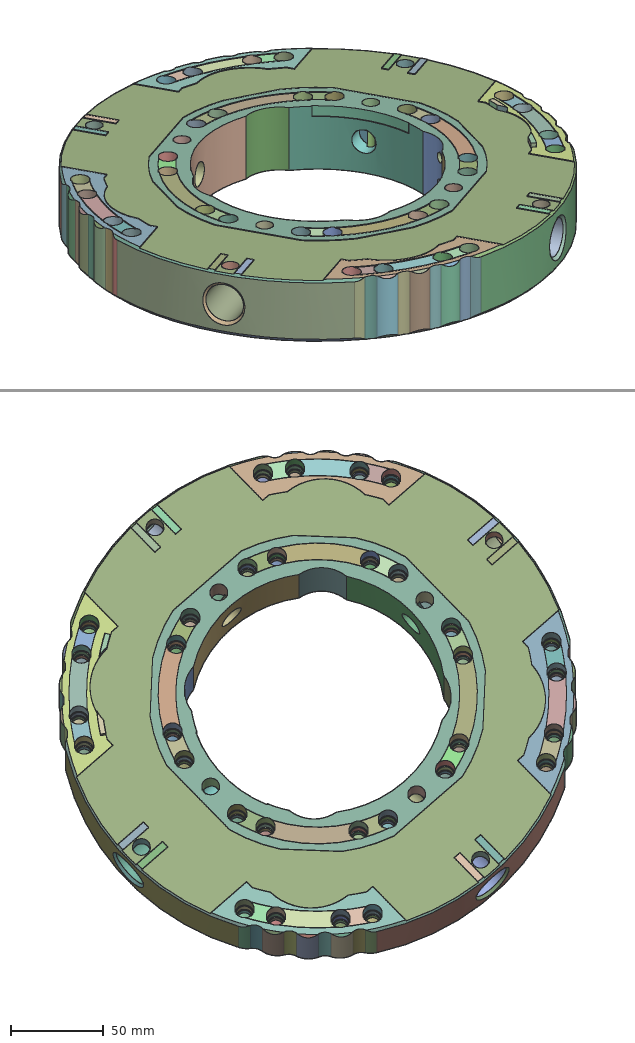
import cadquery as cq
import math

outer_radius = 139.7
body_height = 38.1
bore_radius = 68.8
top_chamfer = 1.5
bottom_chamfer = 2.54
mid_height = body_height / 2
corner_angles = (45, 135, 225, 315)
side_angles = (0, 90, 180, 270)
marked_corner = 45
marked_side = 90
over = 1.0

ridge_count = 5
ridge_pitch = 7.75
ridge_radius = 10.16
groove_radius = 6.35

lobe_radius = 20.6
lobe_reach = 72.0

recess_depth = 0.5
land_radius = 91.44
land_side_distance = 87.9
land_corner_distance = 89.9
pad_edge = 53.2
pad_shelf = 101.4
pad_inner_radius = 116.7
pad_scoop_radius = 31.0
pad_scoop_distance = 92.0
bar_inner_radius = 119.1
bar_offset = 7.6
bar_width = 4.2

tab_height = 2.54
tab_outer_radius = 119.75
tab_angle_from_corner = 14.0

groove_width = 9.525
groove_depth = 0.5
outer_bolt_radius = 129.54
outer_bolt_angles = (ridge_pitch, 2 * ridge_pitch)
inner_bolt_radius = 81.4
inner_bolt_angles = (18.0, 30.0)
mouth_diameter = 10.4
mouth_depth = 9.0
thread_diameter = 9.2
thread_depth = 14.0
drill_diameter = 7.94
drill_depth = 18.0
drill_point_angle = 118.0

plain_diameter = 9.525
plain_depth = 16.5
outer_plain_radius = 129.54
inner_plain_radius = 78.7
drain_diameter = 4.4
socket_diameter = 21.8
socket_depth = 38.1
socket_mouth_diameter = 25.4
socket_chamfer = (socket_mouth_diameter - socket_diameter) / 2
inner_socket_diameter = 14.0
inner_socket_end = 79.4

port_diameter = 6.0
port_offset = 8.05
port_depth = 4.3
relief_depth = 0.6
relief_height = 6.2
relief_half_angle = 24.0


def polar(radius, angle):
    return (radius * math.cos(math.radians(angle)), radius * math.sin(math.radians(angle)))


def disc(radius, bottom, height):
    return cq.Workplane("XY").workplane(offset=bottom).circle(radius).extrude(height)


def turned(solid, angle):
    return solid.rotate((0, 0, 0), (0, 0, 1), angle)


def together(cutters):
    """Separate bodies gathered so that one cut removes them all."""
    return cq.Compound.makeCompound([cutter.val() for cutter in cutters])


def wedge(half_angle, reach, bottom, height):
    """Triangle from the axis, centred on +X."""
    return (
        cq.Workplane("XY").workplane(offset=bottom)
        .polyline([(0, 0), polar(reach, -half_angle), polar(reach, half_angle)])
        .close().extrude(height)
    )


def rim_outline():
    """Round rim whose corners carry convex ridges joined by tangent concave grooves."""
    half_pitch = ridge_pitch / 2
    half_run = ridge_pitch * (ridge_count - 1) / 2
    ridge_centre = outer_radius - ridge_radius
    sideways = ridge_centre * math.sin(math.radians(half_pitch))
    swing = half_pitch + math.degrees(math.asin(sideways / (ridge_radius + groove_radius)))
    groove_centre = (
        ridge_centre * math.cos(math.radians(half_pitch))
        + math.sqrt((ridge_radius + groove_radius) ** 2 - sideways ** 2)
    )
    groove_bottom = groove_centre - groove_radius

    def ridge_point(ridge, turn):
        """Point on the ridge arc, turned from the ridge crest."""
        centre_x, centre_y = polar(ridge_centre, ridge)
        arm_x, arm_y = polar(ridge_radius, ridge + turn)
        return (centre_x + arm_x, centre_y + arm_y)

    outline = cq.Workplane("XY").moveTo(*polar(outer_radius, corner_angles[0] - half_run))
    for corner in corner_angles:
        first_ridge = corner - half_run
        last_ridge = corner + half_run
        outline = outline.threePointArc(ridge_point(first_ridge, swing / 2), ridge_point(first_ridge, swing))
        for index in range(1, ridge_count):
            ridge = first_ridge + index * ridge_pitch
            outline = outline.threePointArc(
                polar(groove_bottom, ridge - half_pitch), ridge_point(ridge, -swing)
            )
            if index < ridge_count - 1:
                outline = outline.threePointArc(ridge_point(ridge, 0), ridge_point(ridge, swing))
        outline = outline.threePointArc(ridge_point(last_ridge, -swing / 2), ridge_point(last_ridge, 0))
        outline = outline.threePointArc(
            polar(outer_radius, corner + 45), polar(outer_radius, corner + 90 - half_run)
        )
    return outline.close()


def make_rim_blank():
    turned_blank = (
        disc(outer_radius, 0, body_height)
        .faces(">Z").chamfer(top_chamfer)
        .faces("<Z").chamfer(bottom_chamfer)
    )
    return turned_blank.intersect(rim_outline().extrude(body_height))


def bore_cutter():
    cutter = disc(bore_radius, -over, body_height + 2 * over)
    for angle in corner_angles:
        lobe = disc(lobe_radius, -over, body_height + 2 * over)
        cutter = cutter.union(lobe.translate((*polar(lobe_reach - lobe_radius, angle), 0)))
    return cutter


def land(bottom, height):
    octagon = cq.Workplane("XY").workplane(offset=bottom)
    sides = octagon.rect(2 * land_side_distance, 2 * land_side_distance).extrude(height)
    corners = octagon.rect(2 * land_corner_distance, 2 * land_corner_distance).extrude(height)
    return disc(land_radius, bottom, height).intersect(sides).intersect(turned(corners, 45))


def corner_pad(bottom, height):
    """Raised pad of the 45 degree corner, reaching past the rim."""
    pad = (
        cq.Workplane("XY").workplane(offset=bottom)
        .polyline([
            (pad_edge, outer_radius), (pad_edge, pad_shelf), (pad_shelf, pad_shelf),
            (pad_shelf, pad_edge), (outer_radius, pad_edge), (outer_radius, outer_radius),
        ])
        .close().extrude(height)
    )
    inner_zone = (
        cq.Workplane("XY").workplane(offset=bottom)
        .rect(pad_shelf, pad_shelf, centered=False).extrude(height)
        .cut(disc(pad_inner_radius, bottom, height))
    )
    scoop = disc(pad_scoop_radius, bottom, height)
    scoop = scoop.translate((*polar(pad_scoop_distance, marked_corner), 0))
    return pad.union(inner_zone).cut(scoop)


def side_bars(bottom, height):
    length = outer_radius - bar_inner_radius
    return (
        cq.Workplane("XY").workplane(offset=bottom)
        .pushPoints([(bar_inner_radius + length / 2, side * bar_offset) for side in (-1, 1)])
        .rect(length, bar_width).extrude(height)
    )


def face_recess():
    floor = body_height - recess_depth
    height = recess_depth + over
    recess = disc(outer_radius + over, floor, height).cut(land(floor, height))
    for corner, side in zip(corner_angles, side_angles):
        recess = recess.cut(turned(corner_pad(floor, height), corner - marked_corner))
        recess = recess.cut(turned(side_bars(floor, height), side))
    return recess


def locating_tabs():
    base = body_height - recess_depth
    height = recess_depth + tab_height
    strip = corner_pad(base, height).intersect(disc(tab_outer_radius, base, height))
    sector = turned(wedge(tab_angle_from_corner, 2 * outer_radius, base, height), marked_corner)
    return strip.intersect(sector)


def arc_groove(radius, half_angle):
    """Shallow round-ended groove centred on +X."""
    floor = body_height - groove_depth
    height = groove_depth + over
    band = disc(radius + groove_width / 2, floor, height).cut(disc(radius - groove_width / 2, floor, height))
    groove = band.intersect(wedge(half_angle, 2 * outer_radius, floor, height))
    for angle in (-half_angle, half_angle):
        groove = groove.union(disc(groove_width / 2, floor, height).translate((*polar(radius, angle), 0)))
    return groove


def drilled_hole(diameter, depth):
    """Blind hole on the Z axis with a drill point, measured down from the top face."""
    radius = diameter / 2
    bottom = body_height - depth
    tip = bottom - radius / math.tan(math.radians(drill_point_angle / 2))
    return (
        cq.Workplane("XZ")
        .polyline([(0, tip), (radius, bottom), (radius, body_height + over), (0, body_height + over)])
        .close().revolve(360, (0, 0, 0), (0, 1, 0))
    )


def bolt_hole():
    """Tap drilling below a thread bore and a wider mouth."""
    thread = disc(thread_diameter / 2, body_height - thread_depth, thread_depth + over)
    mouth = disc(mouth_diameter / 2, body_height - mouth_depth, mouth_depth + over)
    return drilled_hole(drill_diameter, drill_depth).union(thread).union(mouth)


def radial_cylinder(diameter, start, end, height):
    return (
        cq.Workplane("YZ").workplane(offset=start)
        .center(0, height).circle(diameter / 2).extrude(end - start)
    )


def cut_bolt_holes(body):
    hole = bolt_hole()
    patterns = ((outer_bolt_radius, outer_bolt_angles), (inner_bolt_radius, inner_bolt_angles))
    grooves = []
    holes = []
    for radius, angles in patterns:
        groove = arc_groove(radius, max(angles))
        for corner in corner_angles:
            grooves.append(turned(groove, corner))
            for angle in angles:
                for side in (-1, 1):
                    holes.append(hole.translate((*polar(radius, corner + side * angle), 0)))
    return body.cut(together(grooves)).cut(together(holes))


def cut_side_holes(body):
    socket = radial_cylinder(socket_diameter, outer_radius - socket_depth, outer_radius + over, mid_height)
    mouth = (
        cq.Workplane("YZ").workplane(offset=outer_radius - socket_chamfer)
        .center(0, mid_height).circle(socket_diameter / 2)
        .workplane(offset=socket_chamfer).circle(socket_mouth_diameter / 2)
        .loft()
    )
    inner_socket = radial_cylinder(inner_socket_diameter, bore_radius - over, inner_socket_end, mid_height)
    plain_hole = drilled_hole(plain_diameter, plain_depth)
    for angle in side_angles:
        for pocket in (socket, mouth, inner_socket):
            body = body.cut(turned(pocket, angle))
        for radius in (inner_plain_radius, outer_plain_radius):
            body = body.cut(plain_hole.translate((*polar(radius, angle), 0)))
    for radius in (inner_plain_radius, outer_plain_radius):
        drain = disc(drain_diameter / 2, -over, body_height)
        body = body.cut(drain.translate((*polar(radius, marked_side), 0)))
    return body


def cut_bore_details(body):
    for side in (-1, 1):
        port = radial_cylinder(port_diameter, bore_radius - over, lobe_reach + port_depth,
                               mid_height + side * port_offset)
        body = body.cut(turned(port, marked_corner))
    bottom = body_height - relief_height
    relief = disc(bore_radius + relief_depth, bottom, relief_height + over)
    sector = wedge(relief_half_angle, outer_radius, bottom, relief_height + over)
    return body.cut(turned(relief.intersect(sector), marked_side))


body = make_rim_blank().cut(bore_cutter()).cut(face_recess())
body = cut_bolt_holes(body)
body = cut_side_holes(body)
body = cut_bore_details(body)
result = body.union(locating_tabs())